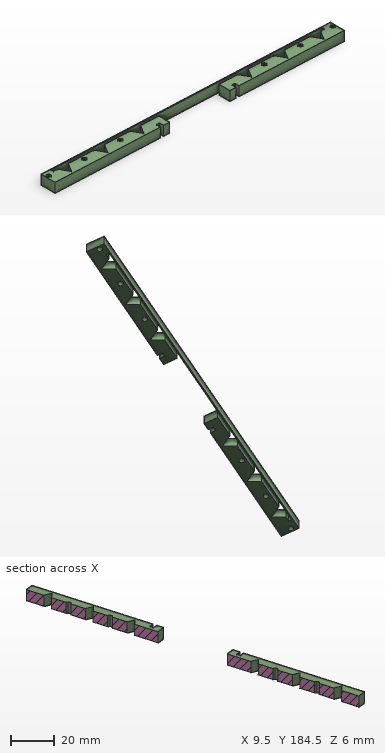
import cadquery as cq
import math

width = 9.5
length = 184.5
height = 6.0

wall_thickness = 0.5
bar_front = 2.2
bar_length = 73.0
end_block_length = 5.9

notch_depth = 5.9
notch_angle = 60.0
notch_half_width = notch_depth * math.tan(math.radians(notch_angle / 2))
notch_pitch = 23.0
notch_count = 3
first_notch = 11.8

hole_diameter = 2.5
end_hole_inset_x = 3.3
end_hole_inset_y = 1.7
bar_hole_inset_x = 4.5

slot_start = 67.2
slot_width = 2.0
slot_depth = 2.8

left = -width / 2
right = width / 2
end = length / 2
bar_front_x = left + bar_front


def block(x_min, x_max, y_min, y_max):
    """Full-height block between the given X and Y limits."""
    return cq.Workplane("XY").box(x_max - x_min, y_max - y_min, height).translate(
        ((x_min + x_max) / 2, (y_min + y_max) / 2, 0)
    )


def v_notch(y_center):
    """Triangular prism opening through the bar front."""
    return (
        cq.Workplane("XY")
        .workplane(offset=-height / 2)
        .moveTo(bar_front_x, y_center - notch_half_width)
        .lineTo(bar_front_x + notch_depth, y_center)
        .lineTo(bar_front_x, y_center + notch_half_width)
        .close()
        .extrude(height)
    )


def hole_cutters():
    """One hole in the end block and one midway between each pair of notches."""
    points = [(left + end_hole_inset_x, end - end_hole_inset_y)]
    for index in range(1, notch_count):
        y_hole = end - first_notch - (index - 0.5) * notch_pitch
        points.append((left + bar_hole_inset_x, y_hole))
    return (
        cq.Workplane("XY")
        .workplane(offset=-height / 2)
        .pushPoints(points)
        .circle(hole_diameter / 2)
        .extrude(height)
    )


def toothed_bar():
    """Bar at the +Y end, with its end block, notches, holes and back slot."""
    bar = block(bar_front_x, right, end - bar_length, end)
    bar = bar.union(block(left, right, end - end_block_length, end))
    for index in range(notch_count):
        bar = bar.cut(v_notch(end - first_notch - index * notch_pitch))
    slot_top = end - slot_start
    bar = bar.cut(block(right - slot_depth, right, slot_top - slot_width, slot_top))
    return bar.cut(hole_cutters())


wall = block(left, left + wall_thickness, -end, end)
upper_bar = toothed_bar()
lower_bar = upper_bar.mirror("XZ")
result = wall.union(upper_bar).union(lower_bar)